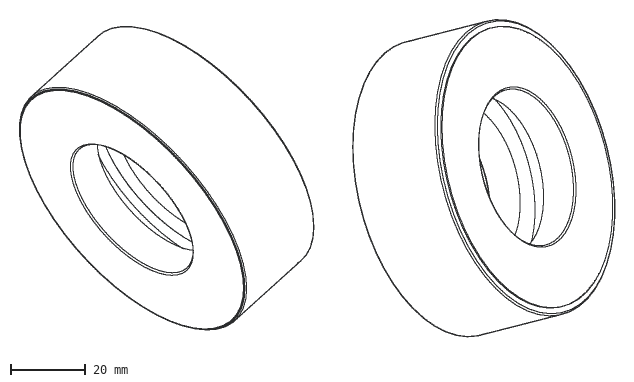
import cadquery as cq
import math

OUTER_DIAMETER = 81
WIDTH = 28.6
BORE_DIAMETER = 42.8
BORE_CHAMFER = 0.5
WASHER_GAP = 7.8

FRONT_BAND_BORE = 79.9
BACK_BAND_BORE = 76.9
FRONT_BAND_SETBACK = 0.2
BACK_BAND_SETBACK = 0.4
BAND_FRONT_CHAMFER = 0.3
BAND_BACK_CHAMFER = 0.5

FRONT_WASHER_DIAMETER = 79.6
BACK_WASHER_DIAMETER = BACK_BAND_BORE
GROOVE_PITCH_RADIUS = 30.8
GROOVE_INNER_RADIUS = 28.1

HALF_WIDTH = WIDTH / 2
HALF_GAP = WASHER_GAP / 2
OUTER_RADIUS = OUTER_DIAMETER / 2
BORE_RADIUS = BORE_DIAMETER / 2
GROOVE_HALF_WIDTH = GROOVE_PITCH_RADIUS - GROOVE_INNER_RADIUS
BALL_RADIUS = math.hypot(GROOVE_HALF_WIDTH, HALF_GAP)


def revolve_about_y(profile):
    """Close a profile drawn as (radius, y) and turn it about the Y axis."""
    return profile.close().revolve(360, (0, 0, 0), (0, 1, 0))


def make_band():
    """Outer band: wide bore at the front, narrower bore at the back."""
    front_y = -HALF_WIDTH + FRONT_BAND_SETBACK
    back_y = HALF_WIDTH - BACK_BAND_SETBACK
    profile = cq.Workplane("XY").polyline([
        (FRONT_BAND_BORE / 2, front_y),
        (OUTER_RADIUS - BAND_FRONT_CHAMFER, front_y),
        (OUTER_RADIUS, front_y + BAND_FRONT_CHAMFER),
        (OUTER_RADIUS, back_y - BAND_BACK_CHAMFER),
        (OUTER_RADIUS - BAND_BACK_CHAMFER, back_y),
        (BACK_BAND_BORE / 2, back_y),
        (BACK_BAND_BORE / 2, 0),
        (FRONT_BAND_BORE / 2, 0),
    ])
    return revolve_about_y(profile)


def make_washer(diameter, side):
    """Washer with a chamfered bore and a ball groove; side is -1 for front, +1 for back."""
    inner_y = side * HALF_GAP
    outer_y = side * HALF_WIDTH
    profile = (
        cq.Workplane("XY")
        .moveTo(BORE_RADIUS, inner_y)
        .lineTo(GROOVE_INNER_RADIUS, inner_y)
        .threePointArc(
            (GROOVE_PITCH_RADIUS, side * BALL_RADIUS),
            (GROOVE_PITCH_RADIUS + GROOVE_HALF_WIDTH, inner_y),
        )
        .lineTo(diameter / 2, inner_y)
        .lineTo(diameter / 2, outer_y)
        .lineTo(BORE_RADIUS + BORE_CHAMFER, outer_y)
        .lineTo(BORE_RADIUS, outer_y - side * BORE_CHAMFER)
    )
    return revolve_about_y(profile)


band = make_band()
front_washer = make_washer(FRONT_WASHER_DIAMETER, -1)
back_washer = make_washer(BACK_WASHER_DIAMETER, 1)

result = cq.Compound.makeCompound([band.val(), front_washer.val(), back_washer.val()])